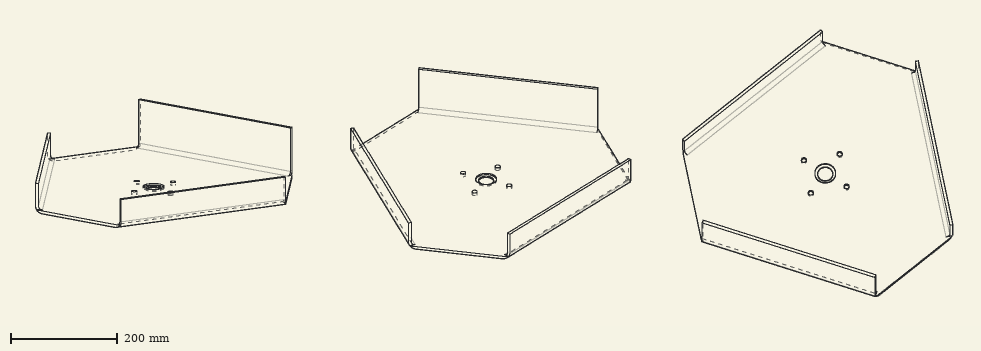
import cadquery as cq
import math

sheet = 6.0
inner_bend_radius = 7.5
outer_bend_radius = inner_bend_radius + sheet

flanged_side_distance = 212.0
open_side_distance = 255.0
low_flange_height = 57.0
tall_flange_height = 98.5
flanges = [(0, low_flange_height), (120, tall_flange_height), (240, low_flange_height)]

half_flange = (open_side_distance - flanged_side_distance * math.cos(math.pi / 3)) / math.sin(math.pi / 3)

center_hole = 28.5
center_recess = 39.5
recess_depth = sheet / 2
bolt_hole = 9.5
bolt_circle_radius = 48.5
bolt_count = 4
first_bolt_angle = 15


def base_plate():
    """Flat sheet out to the six corners, rounded below to follow the outside of the bends."""
    bend_start = flanged_side_distance - outer_bend_radius
    edge_drop = outer_bend_radius - sheet
    edge_at_top = bend_start + math.sqrt(outer_bend_radius**2 - edge_drop**2)
    middle_angle = math.acos(edge_drop / outer_bend_radius) / 2
    arc_middle = (
        bend_start + outer_bend_radius * math.sin(middle_angle),
        outer_bend_radius * (1 - math.cos(middle_angle)),
    )
    corners = []
    for angle, _ in flanges:
        turn = math.radians(angle)
        for y in (-half_flange, half_flange):
            x = flanged_side_distance
            corners.append((x * math.cos(turn) - y * math.sin(turn), x * math.sin(turn) + y * math.cos(turn)))
    plate = cq.Workplane("XY").polyline(corners).close().extrude(sheet)
    outside_bend = (
        cq.Workplane("XZ")
        .moveTo(bend_start, 0)
        .threePointArc(arc_middle, (edge_at_top, sheet))
        .lineTo(flanged_side_distance, sheet)
        .lineTo(flanged_side_distance, 0)
        .close()
        .extrude(2 * half_flange, both=True)
    )
    for angle, _ in flanges:
        plate = plate.cut(outside_bend.rotate((0, 0, 0), (0, 0, 1), angle))
    return plate


def bent_flange(angle, height):
    """Bend and upright wall on the flanged side that faces the given angle."""
    bend_start = flanged_side_distance - outer_bend_radius
    inner_face = flanged_side_distance - sheet
    diagonal = math.sqrt(0.5)
    outer_middle = (bend_start + outer_bend_radius * diagonal, outer_bend_radius * (1 - diagonal))
    inner_middle = (bend_start + inner_bend_radius * diagonal, outer_bend_radius - inner_bend_radius * diagonal)
    profile = (
        cq.Workplane("XZ")
        .moveTo(bend_start, 0)
        .threePointArc(outer_middle, (flanged_side_distance, outer_bend_radius))
        .lineTo(flanged_side_distance, height)
        .lineTo(inner_face, height)
        .lineTo(inner_face, outer_bend_radius)
        .threePointArc(inner_middle, (bend_start, sheet))
        .close()
    )
    return profile.extrude(half_flange, both=True).rotate((0, 0, 0), (0, 0, 1), angle)


def stepped_center_hole():
    """Through hole with a wider recess in the upper face."""
    through = cq.Workplane("XY").circle(center_hole / 2).extrude(sheet)
    recess_floor = cq.Workplane("XY").workplane(offset=sheet - recess_depth)
    recess = recess_floor.circle(center_recess / 2).extrude(recess_depth)
    return through.union(recess)


def bolt_holes():
    """Ring of through holes around the center."""
    return (
        cq.Workplane("XY")
        .polarArray(bolt_circle_radius, first_bolt_angle, 360, bolt_count)
        .circle(bolt_hole / 2)
        .extrude(sheet)
    )


result = base_plate()
for flange_angle, flange_height in flanges:
    result = result.union(bent_flange(flange_angle, flange_height))
result = result.cut(stepped_center_hole()).cut(bolt_holes())